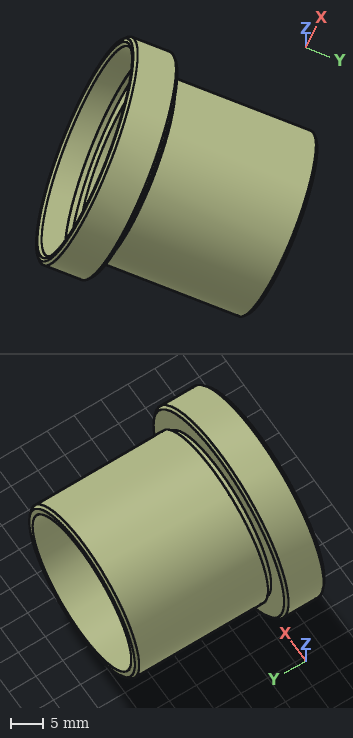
import cadquery as cq

total_length = 32.9
flange_diameter = 38.1
flange_length = 7.5
body_diameter = 31.0
bore_diameter = 28.0
recess_diameter = 35.0
recess_depth = 5.5
undercut_width = 1.0
undercut_depth = 0.1
relief_width = 1.0
relief_depth = 0.6
edge_chamfer = 0.5

flange_radius = flange_diameter / 2
body_radius = body_diameter / 2
bore_radius = bore_diameter / 2
recess_radius = recess_diameter / 2
relief_radius = body_radius - relief_depth
undercut_radius = recess_radius + undercut_depth
undercut_start = recess_depth - undercut_width
relief_end = flange_length + relief_width

half_section = (
    cq.Workplane("XY")
    .moveTo(recess_radius + edge_chamfer, 0)
    .lineTo(flange_radius - edge_chamfer, 0)
    .lineTo(flange_radius, edge_chamfer)
    .lineTo(flange_radius, flange_length - edge_chamfer)
    .lineTo(flange_radius - edge_chamfer, flange_length)
    .lineTo(relief_radius, flange_length)
    .lineTo(relief_radius, relief_end)
    .lineTo(body_radius, relief_end)
    .lineTo(body_radius, total_length - edge_chamfer)
    .lineTo(body_radius - edge_chamfer, total_length)
    .lineTo(bore_radius, total_length)
    .lineTo(bore_radius, recess_depth)
    .lineTo(undercut_radius, recess_depth)
    .lineTo(undercut_radius, undercut_start)
    .lineTo(recess_radius, undercut_start)
    .lineTo(recess_radius, edge_chamfer)
    .close()
)

result = half_section.revolve(360, (0, 0, 0), (0, 1, 0))